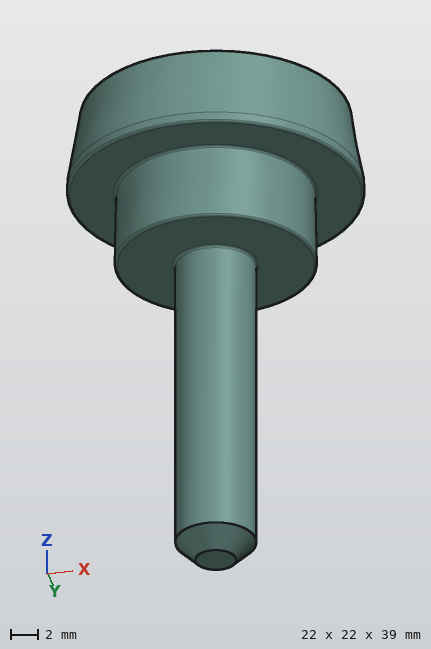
import cadquery as cq

total_height = 39.0
pin_length = 25.0
hub_height = 6.0
head_height = 6.63
band_height = 0.8

pin_radius = 6.0 / 2
tip_radius = pin_radius / 2
hub_bottom_radius = 7.5
hub_top_radius = 7.37
head_radius = 22.0 / 2
head_top_radius = 10.02
dome_radius = 8.23

edge_round = 0.2
root_round = 0.2

tip_chamfer = pin_radius - tip_radius
head_bottom = pin_length + hub_height
band_top = head_bottom + band_height
head_top = head_bottom + head_height
dome_height = total_height - head_top


def pin():
    """Plain pin with a 45 degree chamfered tip."""
    return cq.Workplane("XY").circle(pin_radius).extrude(pin_length).faces("<Z").chamfer(tip_chamfer)


def hub():
    """Slightly tapered collar with a rounded lower rim."""
    profile = (
        cq.Workplane("XZ")
        .moveTo(0, pin_length)
        .lineTo(hub_bottom_radius, pin_length)
        .lineTo(hub_top_radius, head_bottom)
        .lineTo(0, head_bottom)
        .close()
    )
    return profile.revolve(360, (0, 0), (0, 1)).faces("<Z").edges().fillet(edge_round)


def head():
    """Conical grip above a straight band, with both outer rims rounded."""
    profile = (
        cq.Workplane("XZ")
        .moveTo(0, head_bottom)
        .lineTo(head_radius, head_bottom)
        .lineTo(head_radius, band_top)
        .lineTo(head_top_radius, head_top)
        .lineTo(0, head_top)
        .close()
    )
    body = profile.revolve(360, (0, 0), (0, 1))
    return body.faces("<Z or >Z").edges().fillet(edge_round)


def dome():
    """Shallow spherical cap on top of the head."""
    sphere_radius = (dome_radius**2 + dome_height**2) / (2 * dome_height)
    sphere = cq.Workplane("XY").sphere(sphere_radius).translate((0, 0, total_height - sphere_radius))
    cap_limits = cq.Workplane("XY").workplane(offset=head_top).circle(head_radius).extrude(dome_height)
    return sphere.intersect(cap_limits)


def root_fillet(radius, level):
    """Ring blending a shaft of the given radius into the flat face above it."""
    profile = (
        cq.Workplane("XZ")
        .moveTo(0, level)
        .lineTo(radius + root_round, level)
        .radiusArc((radius, level - root_round), -root_round)
        .lineTo(0, level - root_round)
        .close()
    )
    return profile.revolve(360, (0, 0), (0, 1))


shank = pin().union(root_fillet(pin_radius, pin_length))
grip = hub().union(root_fillet(hub_top_radius, head_bottom)).union(head()).union(dome())

result = shank.union(grip)